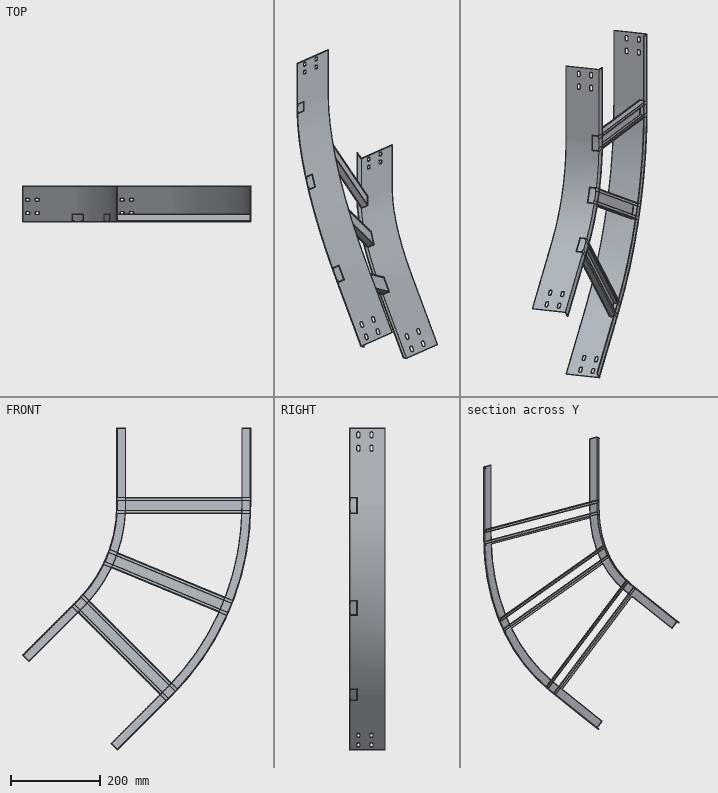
import cadquery as cq

bend_angle = 45.0
inner_radius = 300.0
ladder_width = 300.0
outer_radius = inner_radius + ladder_width
straight_length = 173.0

rail_height = 80.0
flange_width = 20.0
sheet = 1.5
bend_radius = 1.5

rung_width = 36.0
rung_depth = 16.5
lip_width = 7.0
rung_angles = (0.0, bend_angle / 2, bend_angle)

slot_length = 13.0
along_rail = 90.0
slot_width = 6.5
slot_end_distances = (15.0, 45.0)
slot_heights = (20.0, 49.5)


def swing(shape, angle):
    """Turn a shape about the bend axis, from the upper end towards the lower end."""
    return shape.rotate((0, 0, 0), (0, 1, 0), angle)


def rail_profile(web_radius, inward):
    """L section in the XY plane, rounded along the outer corner.

    inward is +1 or -1, the X direction in which the flange points.
    """
    flange_x = web_radius + inward * flange_width
    web_inside_x = web_radius + inward * sheet
    return (
        cq.Workplane("XY")
        .moveTo(web_radius, rail_height)
        .lineTo(web_radius, bend_radius)
        .radiusArc((web_radius + inward * bend_radius, 0), -inward * bend_radius)
        .lineTo(flange_x, 0)
        .lineTo(flange_x, sheet)
        .lineTo(web_inside_x, sheet)
        .lineTo(web_inside_x, rail_height)
        .close()
    )


def make_rail(web_radius, inward):
    """Straight run, bend and second straight run of one side rail."""
    upper = rail_profile(web_radius, inward).extrude(straight_length)
    bend = rail_profile(web_radius, inward).revolve(bend_angle, (0, 0, 0), (0, 1, 0))
    lower = swing(rail_profile(web_radius, inward).extrude(-straight_length), bend_angle)
    return upper.union(bend).union(lower)


def make_rung(angle):
    """Channel from web to web, resting on the back of the flanges."""
    length = ladder_width - sheet
    middle_radius = (inner_radius + outer_radius) / 2
    middle_depth = sheet + rung_depth / 2
    opening = rung_width - 2 * lip_width
    block = cq.Workplane("XY").box(length, rung_depth, rung_width)
    hollow = cq.Workplane("XY").box(length, rung_depth - 2 * sheet, rung_width - 2 * sheet)
    mouth = cq.Workplane("XY").box(length, rung_depth, opening).translate((0, -sheet, 0))
    channel = block.cut(hollow).cut(mouth)
    return swing(channel.translate((middle_radius, middle_depth, 0)), angle)


def make_slots():
    """Cutters for the slots of both rails at the upper and the lower end."""
    cutter_length = ladder_width + 2 * flange_width
    places = [
        (height, straight_length - distance)
        for height in slot_heights
        for distance in slot_end_distances
    ]
    upper = (
        cq.Workplane("YZ", origin=(inner_radius - flange_width, 0, 0))
        .pushPoints(places)
        .slot2D(slot_length, slot_width, along_rail)
        .extrude(cutter_length)
    )
    lower = swing(upper.mirror("XY"), bend_angle)
    return upper.union(lower)


ladder = make_rail(inner_radius, 1).union(make_rail(outer_radius, -1))
for rung_angle in rung_angles:
    ladder = ladder.union(make_rung(rung_angle))
result = ladder.cut(make_slots())